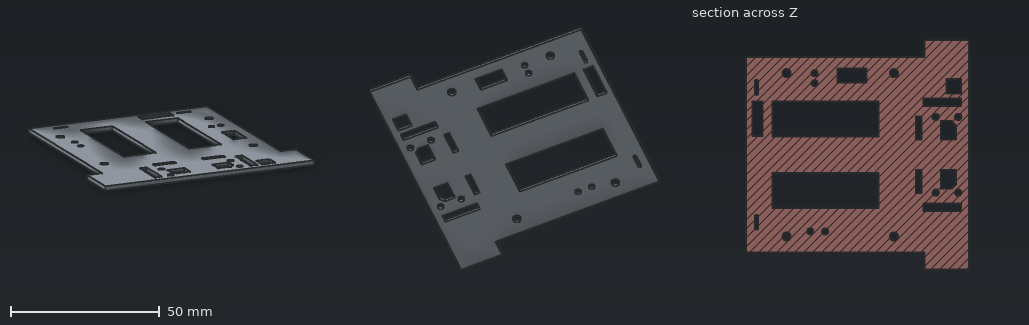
import cadquery as cq

length_x = 75.0
width_y = 77.0
thickness = 1.6
tab_length = 15.0
tab_step = 5.6

mounting_diameter = 2.7
mounting_x = (-23.8, 12.25)
mounting_y = 27.4
led_diameter = 2.0
led_centers = [(-14.4, 27.4), (-14.4, 24.0), (-15.9, -25.7), (-10.85, -25.7)]
peg_diameter = 2.1
peg_x = (26.25, 33.8)
peg_y = 12.7

mirrored_windows = [
    (-10.7, 12.0, 35.5, 11.7),
    (28.4, 17.6, 12.6, 2.5),
    (20.5, 9.0, 1.85, 7.8),
]
single_windows = [
    (-1.85, 26.65, 9.6, 4.6),
    (32.35, 22.95, 4.85, 4.85),
    (-33.6, 12.2, 3.5, 11.55),
]

tie_slot_x = -33.9
tie_slot_y = 22.6
tie_slot_length = 5.0
tie_slot_width = 1.0

connector_x = 30.5
connector_y = 8.25
connector_length = 5.0
connector_width = 6.2
connector_clip = 1.5


def make_plate():
    body = cq.Workplane("XY").box(length_x, width_y - 2 * tab_step, thickness)
    tab_x = (length_x - tab_length) / 2
    tab = cq.Workplane("XY").center(tab_x, 0).box(tab_length, width_y, thickness)
    return body.union(tab)


def bottom_plane():
    return cq.Workplane("XY", origin=(0, 0, -thickness / 2))


def round_cutter(centers, diameter):
    sketch = bottom_plane().pushPoints(centers).circle(diameter / 2)
    return sketch.extrude(thickness)


def window_cutter(x, y, size_x, size_y):
    return bottom_plane().center(x, y).rect(size_x, size_y).extrude(thickness)


def tie_slot_cutter(side):
    sketch = bottom_plane().center(tie_slot_x, side * tie_slot_y)
    return sketch.slot2D(tie_slot_length, tie_slot_width, 90).extrude(thickness)


def connector_cutter(side):
    block = window_cutter(connector_x, side * connector_y, connector_length, connector_width)
    corner = ">X and >Y" if side > 0 else ">X and <Y"
    return block.edges("|Z").edges(corner).chamfer(connector_clip)


result = make_plate()

mounting_centers = [(x, side * mounting_y) for x in mounting_x for side in (1, -1)]
peg_centers = [(x, side * peg_y) for x in peg_x for side in (1, -1)]
result = result.cut(round_cutter(mounting_centers, mounting_diameter))
result = result.cut(round_cutter(led_centers, led_diameter))
result = result.cut(round_cutter(peg_centers, peg_diameter))

for window in single_windows:
    result = result.cut(window_cutter(*window))

for side in (1, -1):
    for x, y, size_x, size_y in mirrored_windows:
        result = result.cut(window_cutter(x, side * y, size_x, size_y))
    result = result.cut(tie_slot_cutter(side))
    result = result.cut(connector_cutter(side))